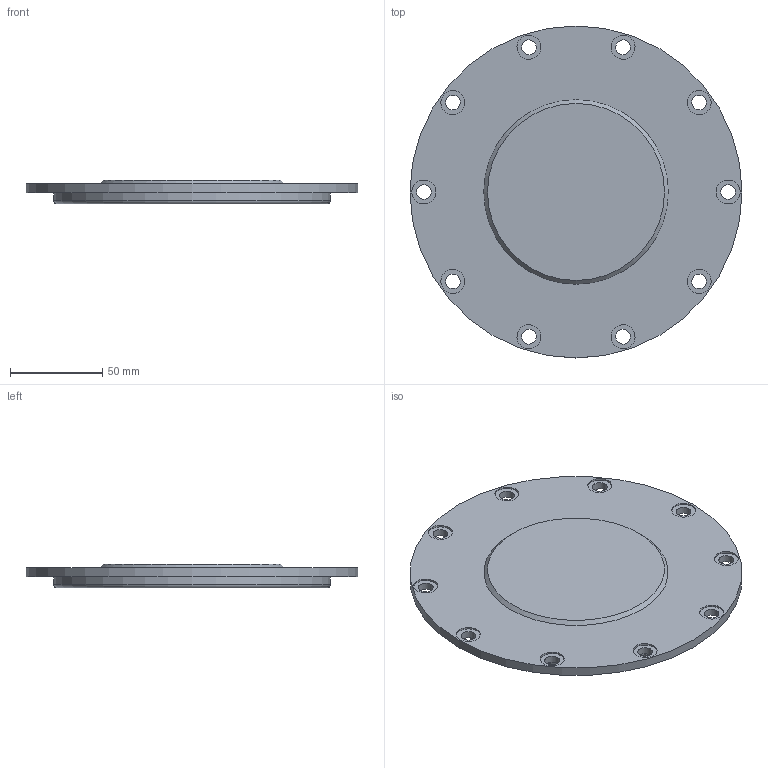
import cadquery as cq

flange_diameter = 180.0
flange_thickness = 5.0

spigot_diameter = 150.0
spigot_height = 6.0
spigot_fillet_radius = 2.0

pad_diameter = 100.0
pad_height = 2.0
pad_bevel = 2.0

bolt_count = 10
bolt_circle_diameter = 165.0
bolt_hole_diameter = 8.0
counterbore_diameter = 13.0
counterbore_depth = 1.0


def make_flange():
    return cq.Workplane("XY").circle(flange_diameter / 2).extrude(flange_thickness)


def make_spigot():
    spigot = cq.Workplane("XY").circle(spigot_diameter / 2).extrude(-spigot_height)
    return spigot.faces("<Z").edges().fillet(spigot_fillet_radius)


def make_pad():
    """Conical pad whose sloped side runs the full pad height."""
    top_radius = pad_diameter / 2 - pad_bevel
    return (
        cq.Workplane("XY")
        .workplane(offset=flange_thickness)
        .circle(pad_diameter / 2)
        .workplane(offset=pad_height)
        .circle(top_radius)
        .loft(ruled=True)
    )


def cut_bolt_holes(body):
    """Ring of counterbored through holes, the first one on the +X axis."""
    return (
        body.copyWorkplane(cq.Workplane("XY", origin=(0, 0, flange_thickness)))
        .polarArray(bolt_circle_diameter / 2, 0, 360, bolt_count)
        .cboreHole(bolt_hole_diameter, counterbore_diameter, counterbore_depth)
    )


body = make_flange().union(make_spigot()).union(make_pad())
result = cut_bolt_holes(body)